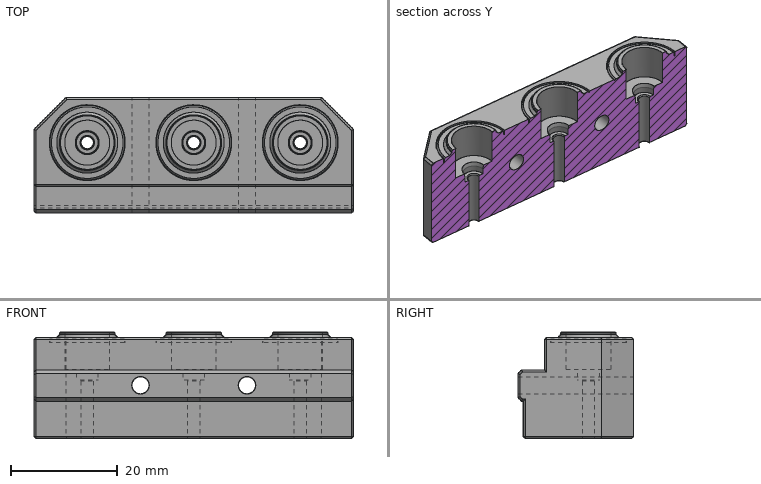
import cadquery as cq

body_length = 60.0
body_height = 19.0
collar_height = 1.0
total_height = body_height + collar_height
back_y = 8.5
upper_front_y = -8.25
lower_front_y = -12.25
corner_cut = 6.0
edge_chamfer = 0.4

ledge_overhang = 1.0
ledge_front_y = lower_front_y - ledge_overhang
ledge_bottom_z = 7.0
ledge_top_z = 12.9
ledge_chamfer = 0.7

socket_pitch = 20.0
socket_positions = [-socket_pitch, 0.0, socket_pitch]
ring_seat_diameter = 14.25
ring_diameter = 14.05
ring_chamfer = 0.3
ring_groove_depth = 1.0
collar_diameter = 10.45
collar_base_chamfer = 0.5
collar_top_chamfer = 0.2
bore_diameter = 8.45
bore_depth = 7.0
pilot_diameter = 4.1
pilot_mouth_diameter = 4.5
pilot_mouth_depth = 0.8
pilot_depth = 2.0
through_diameter = 2.3
through_chamfer = 0.2

mount_diameter = 3.2
mount_positions = [-socket_pitch / 2, socket_pitch / 2]
mount_z = 10.0


def is_rear_upright(edge):
    """True for a vertical edge behind the stepped front; these stay sharp."""
    is_vertical = abs(edge.tangentAt(0).z) > 0.5
    return is_vertical and edge.Center().y > upper_front_y + edge_chamfer


def make_body():
    """Stepped bar with cut rear corners and broken edges."""
    outline = [
        (back_y, 0),
        (back_y, body_height),
        (upper_front_y, body_height),
        (upper_front_y, ledge_top_z),
        (ledge_front_y, ledge_top_z),
        (ledge_front_y, ledge_bottom_z),
        (lower_front_y, ledge_bottom_z),
        (lower_front_y, 0),
    ]
    body = cq.Workplane("YZ").polyline(outline).close().extrude(body_length / 2, both=True)
    body = body.edges("|Z and >Y").chamfer(corner_cut)
    body = body.faces("<Y").edges("|X").chamfer(ledge_chamfer)
    rim_edges = body.faces("<X or >X or <Z or >Z").edges()
    return rim_edges.filter(lambda edge: not is_rear_upright(edge)).chamfer(edge_chamfer)


def revolve_profile(profile):
    """Turn a list of (radius, Z) points into a solid about the Z axis."""
    return cq.Workplane("XZ").polyline(profile).close().revolve(360, (0, 0), (0, 1))


def make_ring_groove():
    """Groove left between the seat wall and the chamfered rim of the flush ring."""
    ring_radius = ring_diameter / 2
    seat_radius = ring_seat_diameter / 2
    groove_floor = body_height - ring_groove_depth
    return revolve_profile([
        (ring_radius - ring_chamfer, body_height),
        (seat_radius, body_height),
        (seat_radius, groove_floor),
        (ring_radius, groove_floor),
        (ring_radius, body_height - ring_chamfer),
    ])


def make_collar():
    """Raised collar with a sloped foot and a broken top edge."""
    radius = collar_diameter / 2
    foot_radius = radius + collar_base_chamfer
    return revolve_profile([
        (0, body_height),
        (foot_radius, body_height),
        (radius, body_height + collar_base_chamfer),
        (radius, total_height - collar_top_chamfer),
        (radius - collar_top_chamfer, total_height),
        (0, total_height),
    ])


def make_socket_bore():
    """Stepped bore: wide socket, pilot with a steep tapered mouth, chamfered through hole."""
    bore_radius = bore_diameter / 2
    pilot_radius = pilot_diameter / 2
    through_radius = through_diameter / 2
    bore_floor = total_height - bore_depth
    pilot_floor = bore_floor - pilot_depth
    return revolve_profile([
        (0, 0),
        (through_radius, 0),
        (through_radius, pilot_floor - through_chamfer),
        (through_radius + through_chamfer, pilot_floor),
        (pilot_radius, pilot_floor),
        (pilot_radius, bore_floor - pilot_mouth_depth),
        (pilot_mouth_diameter / 2, bore_floor),
        (bore_radius, bore_floor),
        (bore_radius, total_height),
        (0, total_height),
    ])


def make_mount_hole(x):
    """Cylinder through the full depth of the body along Y."""
    hole = cq.Workplane("XZ", origin=(x, back_y, mount_z))
    return hole.circle(mount_diameter / 2).extrude(back_y - ledge_front_y)


result = make_body()
for x in socket_positions:
    position = (x, 0, 0)
    result = result.cut(make_ring_groove().translate(position))
    result = result.union(make_collar().translate(position))
    result = result.cut(make_socket_bore().translate(position))
for x in mount_positions:
    result = result.cut(make_mount_hole(x))